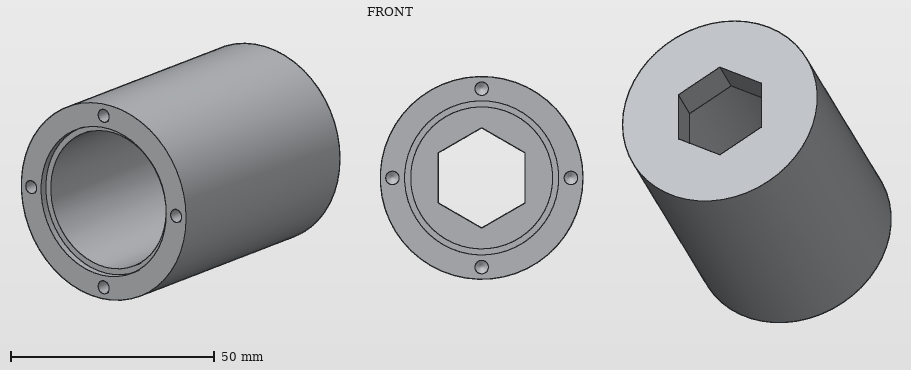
import cadquery as cq
import math

length = 65.0
outer_diameter = 50.0
bore_diameter = 35.0
counterbore_diameter = 37.95
counterbore_depth = 2.0
floor_thickness = 10.0
hex_across_flats = 21.3
screw_hole_count = 4
screw_hole_diameter = 3.3
screw_hole_depth = 10.0
screw_circle_radius = 22.0
drill_tip_angle = 118.0

open_end = -length / 2


def cylinder_from_open_end(diameter, depth):
    """Cylinder running inward (+Y) from the open end."""
    return cq.Workplane("XZ", origin=(0, open_end, 0)).circle(diameter / 2).extrude(-depth)


def hexagonal_hole():
    """Through hexagon with two corners pointing along Z."""
    across_corners = hex_across_flats / math.cos(math.radians(30))
    return (
        cq.Workplane("XZ", origin=(0, open_end, 0))
        .transformed(rotate=(0, 0, 90))
        .polygon(6, across_corners)
        .extrude(-length)
    )


def screw_hole():
    """Blind drilled hole with a conical bottom, on the +X side of the open end."""
    radius = screw_hole_diameter / 2
    tip_length = radius / math.tan(math.radians(drill_tip_angle / 2))
    straight_end = open_end + screw_hole_depth
    profile = [
        (0, open_end),
        (radius, open_end),
        (radius, straight_end),
        (0, straight_end + tip_length),
    ]
    drill = cq.Workplane("XY").polyline(profile).close().revolve(360, (0, 0), (0, 1))
    return drill.translate((screw_circle_radius, 0, 0))


result = cylinder_from_open_end(outer_diameter, length)
result = result.cut(cylinder_from_open_end(bore_diameter, length - floor_thickness))
result = result.cut(cylinder_from_open_end(counterbore_diameter, counterbore_depth))
result = result.cut(hexagonal_hole())

for index in range(screw_hole_count):
    angle = index * 360 / screw_hole_count
    result = result.cut(screw_hole().rotate((0, 0, 0), (0, 1, 0), angle))